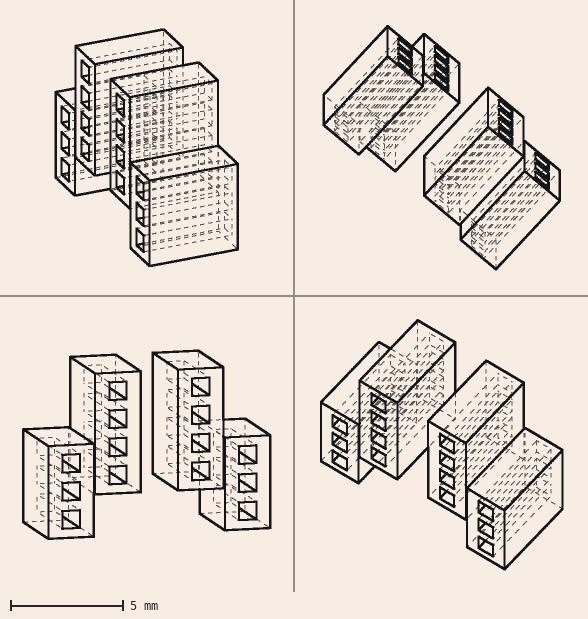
import cadquery as cq

pitch = 1.27
hole_side = 0.8
end_margin = 0.43
block_width = 2.1
block_depth = 4.3
overall_width = 10.23
inner_spacing = 3.81

inner_hole_count = 4
outer_hole_count = 3
outer_drop = 1.5 * pitch


def block_height(hole_count):
    return (hole_count - 1) * pitch + hole_side + 2 * end_margin


inner_x = inner_spacing / 2
outer_x = (overall_width - block_width) / 2
overall_height = block_height(inner_hole_count) + outer_drop
outer_bottom = -overall_height / 2
inner_bottom = outer_bottom + outer_drop


def socket_block(hole_count, center_x, bottom_z):
    """Upright block with a column of square holes running through it along Y."""
    height = block_height(hole_count)
    center = (center_x, 0, bottom_z + height / 2)
    block = cq.Workplane("XY").box(block_width, block_depth, height)
    holes = (
        cq.Workplane("XZ")
        .rarray(pitch, pitch, 1, hole_count)
        .rect(hole_side, hole_side)
        .extrude(block_depth / 2, both=True)
    )
    return block.cut(holes).translate(center)


inner_blocks = []
outer_blocks = []
for side in (-1, 1):
    inner_blocks.append(socket_block(inner_hole_count, side * inner_x, inner_bottom))
    outer_blocks.append(socket_block(outer_hole_count, side * outer_x, outer_bottom))

result = cq.Compound.makeCompound([block.val() for block in inner_blocks + outer_blocks])